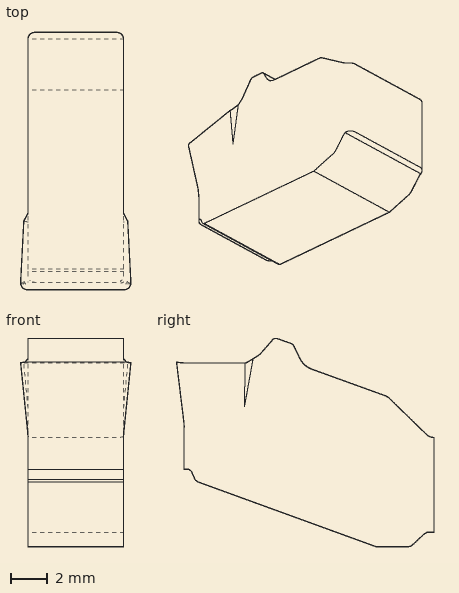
import cadquery as cq

length = 14.0
height = 11.33
body_width = 5.21
body_half = body_width / 2
blank_width = 8.4
corner_radius = 0.39

rake_z = 10.0
edge_z = 10.04
land_depth = 0.42
front_y = 0.4
front_top_z = 6.72
front_bottom_z = 4.21
back_bottom_z = 0.78
back_top_z = 5.95

root_front_y = 0.83
root_front_z = 6.08
root_back_y = 3.7
root_back_z = 7.62
cheek_top_y = 4.16
cheek_top_z = 10.18
cheek_flare = 0.096
rear_flare = 0.578
loft_bottom_z = 5.6
loft_top_z = 10.64
loft_front_y = -0.14

edge_margin = 0.01
end_margin = 0.14

root_slope = (root_back_z - root_front_z) / (root_back_y - root_front_y)
rear_slope = (cheek_top_y - root_back_y) / (cheek_top_z - root_back_z)


def side_profile(width):
    """Side outline extruded symmetrically about X = 0."""
    outline = (
        cq.Workplane("YZ")
        .moveTo(0, edge_z)
        .lineTo(front_y, front_top_z)
        .lineTo(front_y, front_bottom_z)
        .lineTo(0.59, front_bottom_z)
        .tangentArcPoint((0.83, 4.06), relative=False)
        .lineTo(1.01, 3.65)
        .lineTo(1.15, 3.53)
        .lineTo(10.85, 0)
        .lineTo(12.53, 0)
        .threePointArc((12.71, 0.03), (12.85, 0.13))
        .lineTo(13.47, 0.7)
        .lineTo(13.62, back_bottom_z)
        .lineTo(length, back_bottom_z)
        .lineTo(length, back_top_z)
        .threePointArc((13.78, 5.99), (13.58, 6.12))
        .lineTo(11.52, 8.12)
        .lineTo(11.38, 8.2)
        .lineTo(7.35, 9.66)
        .tangentArcPoint((6.7, 10.25), relative=False)
        .lineTo(6.38, 10.92)
        .threePointArc((6.31, 11.0), (6.22, 11.06))
        .lineTo(5.5, 11.31)
        .threePointArc((5.35, height), (5.2, 11.21))
        .lineTo(4.59, 10.53)
        .threePointArc((4.51, 10.45), (4.41, 10.37))
        .lineTo(3.88, 10.05)
        .threePointArc((3.8, 10.01), (3.7, rake_z))
        .lineTo(land_depth, rake_z)
        .close()
    )
    return outline.extrude(width / 2, both=True)


def cheek_half_width(y, z):
    """Half-width of the flared side plane."""
    return body_half + cheek_flare * (z - root_front_z - root_slope * (y - root_front_y))


def head_section(z):
    """Corners of the flared head at height z, bounded by side and rear planes."""
    rear_y = cheek_top_y - rear_slope * (cheek_top_z - z)
    rear_excess = rear_flare * rear_y
    side_excess = cheek_half_width(0, z) - body_half
    corner_y = (rear_excess - side_excess) / (rear_flare - cheek_flare * root_slope)
    front_half = cheek_half_width(loft_front_y, z)
    corner_half = cheek_half_width(corner_y, z)
    end_y = rear_y + body_half / rear_flare
    return [
        (-front_half, loft_front_y),
        (front_half, loft_front_y),
        (corner_half, corner_y),
        (0, end_y),
        (-corner_half, corner_y),
    ]


def flared_head():
    envelope = (
        cq.Workplane("XY", origin=(0, 0, loft_bottom_z))
        .polyline(head_section(loft_bottom_z))
        .close()
        .workplane(offset=loft_top_z - loft_bottom_z)
        .polyline(head_section(loft_top_z))
        .close()
        .loft(ruled=True)
    )
    return envelope.intersect(side_profile(blank_width))


def upright_edges(y_min, y_max, z_min, z_max):
    """Selector for edges centred in a box spanning the full width."""
    return cq.selectors.BoxSelector(
        (-blank_width, y_min - edge_margin, z_min + end_margin),
        (blank_width, y_max + edge_margin, z_max - end_margin),
    )


def round_corners(part):
    """Round the upright edges bounding the front and back faces."""
    back_edges = upright_edges(length, length, back_bottom_z, back_top_z)
    front_edges = upright_edges(0, front_y, front_bottom_z, edge_z)
    upright = part.edges("not |X").edges(back_edges + front_edges)
    return upright.fillet(corner_radius)


result = round_corners(side_profile(body_width).union(flared_head()))